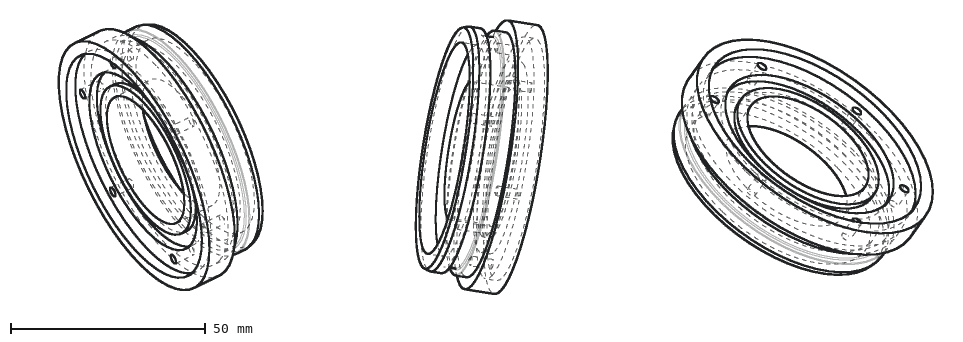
import cadquery as cq
import math

total_length = 18.8
flange_diameter = 70.0
flange_length = 7.85
spigot_diameter = 63.8
bore_diameter = 36.0

taper_length = 1.5
taper_inset = 0.5

seal_floor_diameter = 60.3
seal_width = 3.5
seal_start = 10.85
seal_root_radius = 0.35
seal_lip_radius = 0.2

recess_diameter = 63.0
recess_depth = 2.8
channel_outer_diameter = 50.0
channel_depth = 2.3
rim_diameter = 42.0
rim_height = 1.55

counterbore_diameter = 55.0
counterbore_depth = 4.35

hole_count = 6
hole_diameter = 2.5
hole_circle_diameter = 56.3
hole_depth = 5.6
drill_point_angle = 118.0

full_turn = 360.0
axis_start = (0, 0, 0)
axis_end = (0, 1, 0)


def spin(outline):
    """Revolve a closed outline, drawn as (radius, Y), a full turn about the Y axis."""
    return outline.revolve(full_turn, axis_start, axis_end)


def cylinder(diameter, start, end):
    """Solid cylinder along the Y axis between two Y positions."""
    radius = diameter / 2
    return spin(cq.Workplane("XY").polyline([(0, start), (radius, start), (radius, end), (0, end)]).close())


def blank():
    """Flange and tapered spigot without any recesses."""
    flange_radius = flange_diameter / 2
    spigot_radius = spigot_diameter / 2
    return spin(
        cq.Workplane("XY")
        .lineTo(flange_radius, 0)
        .lineTo(flange_radius, flange_length)
        .lineTo(spigot_radius, flange_length)
        .lineTo(spigot_radius, total_length - taper_length)
        .lineTo(spigot_radius - taper_inset, total_length)
        .lineTo(0, total_length)
        .close()
    )


def seal_groove():
    """Cutter for the seal groove, with rounded roots and rounded lips."""
    start = seal_start
    end = seal_start + seal_width
    outer = spigot_diameter / 2
    floor = seal_floor_diameter / 2
    lip = seal_lip_radius
    root = seal_root_radius
    lip_middle = lip * (1 - math.sqrt(0.5))
    root_middle = root * (1 - math.sqrt(0.5))
    return spin(
        cq.Workplane("XY")
        .moveTo(outer, start - lip)
        .threePointArc((outer - lip_middle, start - lip_middle), (outer - lip, start))
        .lineTo(floor + root, start)
        .threePointArc((floor + root_middle, start + root_middle), (floor, start + root))
        .lineTo(floor, end - root)
        .threePointArc((floor + root_middle, end - root_middle), (floor + root, end))
        .lineTo(outer - lip, end)
        .threePointArc((outer - lip_middle, end + lip_middle), (outer, end + lip))
        .close()
    )


def face_recess():
    """Cutter for the face recess and the deeper channel, leaving the lowered central rim."""
    channel_floor = recess_depth + channel_depth
    rim_face = channel_floor - rim_height
    recess = cylinder(recess_diameter, 0, recess_depth)
    channel = cylinder(channel_outer_diameter, 0, channel_floor)
    rim = cylinder(rim_diameter, rim_face, channel_floor)
    return recess.union(channel).cut(rim)


def through_bore():
    """Cutter for the central bore and the counterbore at the free end of the spigot."""
    bore = cylinder(bore_diameter, 0, total_length)
    counterbore = cylinder(counterbore_diameter, total_length - counterbore_depth, total_length)
    return bore.union(counterbore)


def screw_hole(angle):
    """Cutter for one blind hole at the given angle (degrees) from +X towards +Z."""
    radius = hole_diameter / 2
    hole_end = recess_depth + hole_depth
    point_length = radius / math.tan(math.radians(drill_point_angle / 2))
    drill = spin(
        cq.Workplane("XY")
        .moveTo(0, recess_depth)
        .lineTo(radius, recess_depth)
        .lineTo(radius, hole_end)
        .lineTo(0, hole_end + point_length)
        .close()
    )
    return drill.translate((hole_circle_diameter / 2, 0, 0)).rotate(axis_start, axis_end, -angle)


result = blank().cut(through_bore()).cut(seal_groove()).cut(face_recess())
for index in range(hole_count):
    result = result.cut(screw_hole(index * full_turn / hole_count))